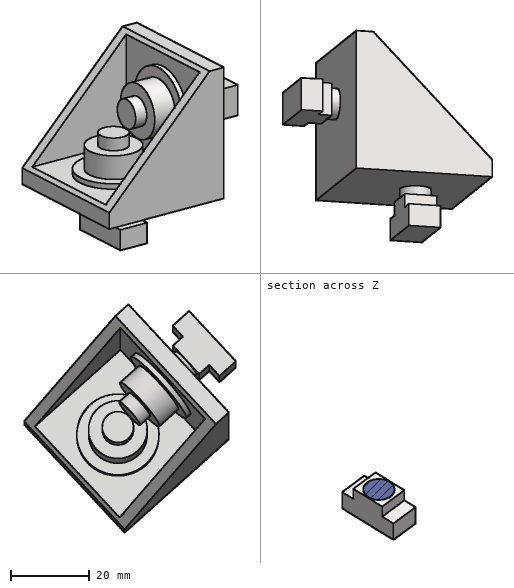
import cadquery as cq

width = 38.0
leg = 36.0
tip = 4.5
side_wall = 3.0
plate = 5.5

bolt_offset = 21.0
stud_diameter = 8.0
washer_diameter = 21.0
washer_thickness = 1.5
head_diameter = 15.0
head_height = 6.5
stud_tip = 3.5

nut_depth = 8.4
nut_neck_width = 9.95
nut_neck_height = 3.5
nut_base_width = 17.7
nut_base_height = 5.7
overall_length = 47.7
outer_reach = overall_length - leg
nut_gap = outer_reach - nut_neck_height - nut_base_height


def make_bracket():
    """Wedge hollowed from its sloping face, leaving two plates and two side walls."""
    wedge = (
        cq.Workplane("YZ")
        .polyline([(0, 0), (-leg, 0), (-leg, tip), (-tip, leg), (0, leg)])
        .close()
        .extrude(width / 2, both=True)
    )
    pocket = cq.Workplane("XY").box(
        width - 2 * side_wall, leg, leg, centered=(True, False, False)
    ).translate((0, -plate - leg, plate))
    return wedge.cut(pocket)


def cylinder(diameter, bottom, height):
    return cq.Workplane("XY").workplane(offset=bottom).circle(diameter / 2).extrude(height)


def nut_block(block_width, bottom, height):
    return cq.Workplane("XY").workplane(offset=bottom).rect(block_width, nut_depth).extrude(height)


def make_bolt():
    """Vertical bolt with washer, head and T-nut; Z = 0 is the outer face of its plate."""
    head_bottom = plate + washer_thickness
    stud_top = head_bottom + head_height + stud_tip
    stud = cylinder(stud_diameter, -nut_gap, nut_gap + stud_top)
    washer = cylinder(washer_diameter, plate, washer_thickness)
    head = cylinder(head_diameter, head_bottom, head_height)
    nut_neck = nut_block(nut_neck_width, -nut_gap - nut_neck_height, nut_neck_height)
    nut_base = nut_block(nut_base_width, -outer_reach, nut_base_height)
    return stud.union(washer).union(head).union(nut_neck).union(nut_base)


bolt = make_bolt()
floor_bolt = bolt.translate((0, -bolt_offset, 0))
back_bolt = bolt.rotate((0, 0, 0), (1, 0, 0), 90).translate((0, 0, bolt_offset))

result = make_bracket().union(floor_bolt).union(back_bolt)